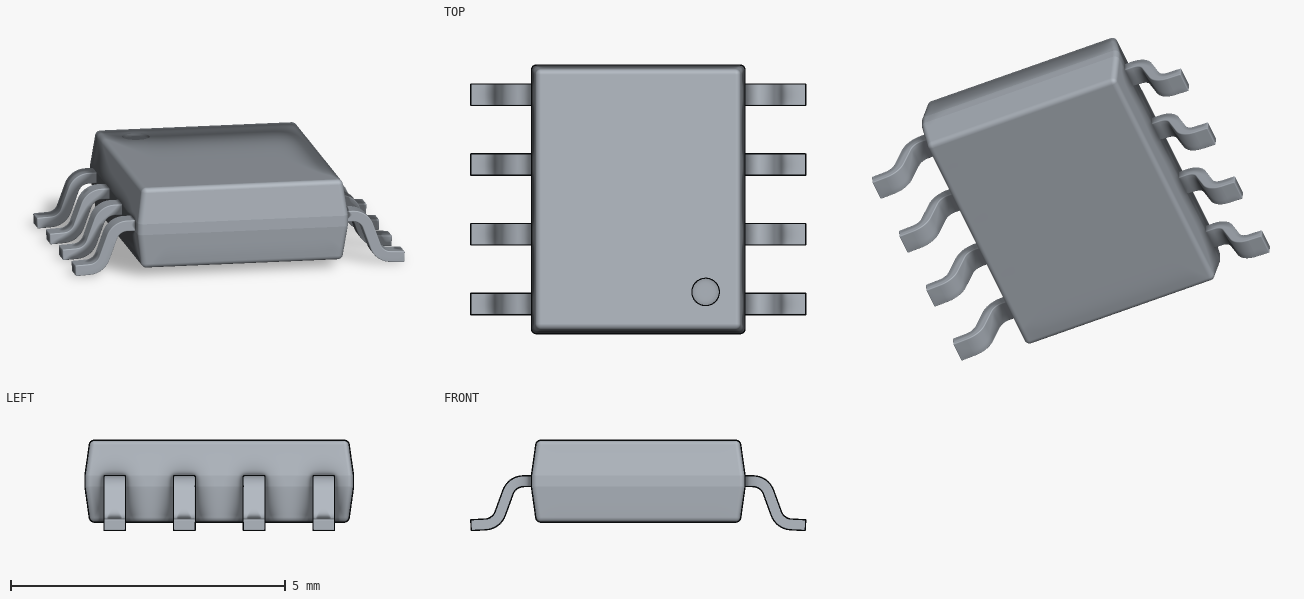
import cadquery as cq
import math

BODY_X = 3.9
BODY_Y = 4.9
BODY_BOTTOM_Z = 0.15
BODY_TOP_Z = 1.65
DRAFT_ANGLE = 8.0
EDGE_RADIUS = 0.1

DIMPLE_DIAMETER = 0.5
DIMPLE_DEPTH = 0.05
DIMPLE_X = 1.23
DIMPLE_Y = -1.685

LEAD_SPAN = 6.11
LEAD_WIDTH = 0.4
LEAD_THICKNESS = 0.2
LEAD_PITCH = 1.27
LEADS_PER_SIDE = 4
SHOULDER_LENGTH = 0.14
BEND_INNER_RADIUS = 0.2
LEG_ANGLE = 70.0
FOOT_ANGLE = 3.0
LEAD_EDGE_RADIUS = 0.02

BAND_CENTER_Z = (BODY_BOTTOM_Z + BODY_TOP_Z) / 2
BAND_TOP_Z = BAND_CENTER_Z + LEAD_THICKNESS / 2
BAND_BOTTOM_Z = BAND_CENTER_Z - LEAD_THICKNESS / 2


def drafted_half(band_edge_z, height):
    """Block that tapers from the band edge; a negative height goes downwards."""
    return (
        cq.Workplane("XY")
        .workplane(offset=band_edge_z)
        .rect(BODY_X, BODY_Y)
        .extrude(height, taper=DRAFT_ANGLE)
    )


def make_housing():
    band = (
        cq.Workplane("XY")
        .workplane(offset=BAND_BOTTOM_Z)
        .rect(BODY_X, BODY_Y)
        .extrude(LEAD_THICKNESS)
    )
    upper = drafted_half(BAND_TOP_Z, BODY_TOP_Z - BAND_TOP_Z)
    lower = drafted_half(BAND_BOTTOM_Z, BODY_BOTTOM_Z - BAND_BOTTOM_Z)
    housing = band.union(upper).union(lower)

    corners = housing.edges("not(#Z)")
    rims = housing.faces("<Z or >Z").edges()
    housing = housing.newObject(corners.vals() + rims.vals()).fillet(EDGE_RADIUS)

    dimple = (
        cq.Workplane("XY", origin=(DIMPLE_X, DIMPLE_Y, BODY_TOP_Z))
        .circle(DIMPLE_DIAMETER / 2)
        .extrude(-DIMPLE_DEPTH)
    )
    return housing.cut(dimple)


def on_circle(center, radius, angle):
    """Point on a circle in the XZ plane, with the angle in degrees up from +X."""
    turn = math.radians(angle)
    return (center[0] + radius * math.cos(turn), center[1] + radius * math.sin(turn))


def lead_profile():
    """XZ outline of a lead on the +X side, from the housing wall to the toe."""
    inner = BEND_INNER_RADIUS
    outer = inner + LEAD_THICKNESS
    foot_slope = math.radians(FOOT_ANGLE)
    leg_slope = math.radians(LEG_ANGLE)
    wall_x = BODY_X / 2

    overhang = LEAD_EDGE_RADIUS * (math.sin(foot_slope) + math.cos(foot_slope) - 1)
    toe_top_x = LEAD_SPAN / 2 + overhang
    toe_bottom_x = toe_top_x - LEAD_THICKNESS * math.sin(foot_slope)
    toe_bottom_z = -overhang
    toe_top_z = toe_bottom_z + LEAD_THICKNESS * math.cos(foot_slope)

    upper_center = (wall_x + SHOULDER_LENGTH, BAND_TOP_Z - outer)

    across = inner + outer
    base_x = upper_center[0] + across * math.sin(leg_slope)
    base_z = upper_center[1] + across * math.cos(leg_slope)
    base_height = (
        (base_z - toe_bottom_z) * math.cos(foot_slope)
        - (toe_bottom_x - base_x) * math.sin(foot_slope)
    )
    leg_length = (base_height - outer) / math.sin(leg_slope - foot_slope)
    lower_center = (
        base_x + leg_length * math.cos(leg_slope),
        base_z - leg_length * math.sin(leg_slope),
    )

    upper_start = 90
    upper_end = 90 - LEG_ANGLE
    upper_mid = (upper_start + upper_end) / 2
    lower_start = 270 - LEG_ANGLE
    lower_end = 270 - FOOT_ANGLE
    lower_mid = (lower_start + lower_end) / 2

    def upper_bend(radius, angle):
        return on_circle(upper_center, radius, angle)

    def lower_bend(radius, angle):
        return on_circle(lower_center, radius, angle)

    return (
        cq.Workplane("XZ")
        .moveTo(wall_x, BAND_TOP_Z)
        .lineTo(*upper_bend(outer, upper_start))
        .threePointArc(upper_bend(outer, upper_mid), upper_bend(outer, upper_end))
        .lineTo(*lower_bend(inner, lower_start))
        .threePointArc(lower_bend(inner, lower_mid), lower_bend(inner, lower_end))
        .lineTo(toe_top_x, toe_top_z)
        .lineTo(toe_bottom_x, toe_bottom_z)
        .lineTo(*lower_bend(outer, lower_end))
        .threePointArc(lower_bend(outer, lower_mid), lower_bend(outer, lower_start))
        .lineTo(*upper_bend(inner, upper_end))
        .threePointArc(upper_bend(inner, upper_mid), upper_bend(inner, upper_start))
        .lineTo(wall_x, BAND_BOTTOM_Z)
        .close()
    )


def make_leads():
    blank = lead_profile().extrude(LEAD_WIDTH / 2, both=True)
    rims = blank.faces("<Y or >Y").edges("not(|Z and <X)")
    toe_edges = blank.faces(">X").edges("|Y")
    right_lead = blank.newObject(rims.vals() + toe_edges.vals()).fillet(LEAD_EDGE_RADIUS)

    left_lead = right_lead.rotate((0, 0, 0), (0, 0, 1), 180)

    first_y = -LEAD_PITCH * (LEADS_PER_SIDE - 1) / 2
    leads = []
    for index in range(LEADS_PER_SIDE):
        lead_y = first_y + index * LEAD_PITCH
        for lead in (right_lead, left_lead):
            leads.append(lead.translate((0, lead_y, 0)).val())
    return leads


housing = make_housing()
leads = make_leads()
result = cq.Compound.makeCompound([housing.val(), *leads])